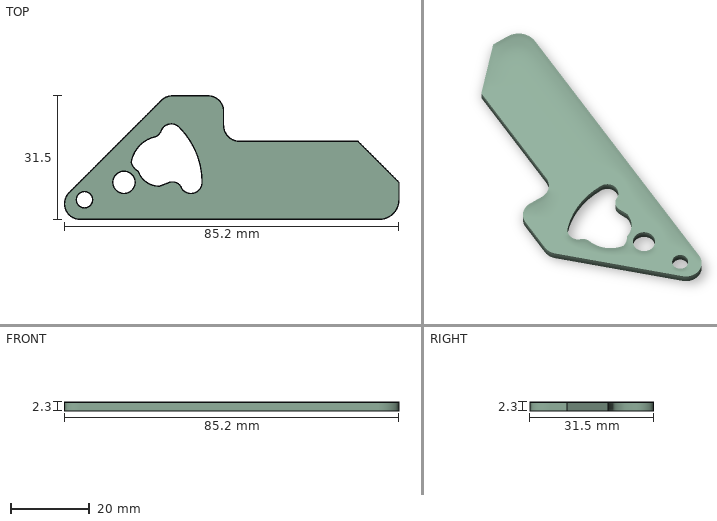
import cadquery as cq
import math

length = 85.2
width = 31.5
thickness = 2.3

corner_radius = 4.0
end_radius = 5.0
slope_normal = 135
step_x = 40.5
step_y = 19.9
chamfer = 10.5

pivot = (5.1, 5.0)
pivot_diameter = 4.1
pin = (15.2, 9.45)
pin_diameter = 5.6

lobe_radius = 2.8
lobe_path_radius = 17.0
upper_lobe_angle = 45
lower_lobe_angle = 0
upper_neck_angle = 150
lower_neck_angle = 215

upper_bump_middle = (24.3, 21.9)
upper_bump_end = (23.2, 21.0)
upper_bay_middle = (19.25, 18.9)
upper_bay_end = (17.0, 14.6)
pin_web_middle = (17.6, 13.3)
pin_web_end = (18.8, 12.3)
lower_bay_middle = (20.95, 9.45)
lower_bay_end = (24.3, 8.5)
lower_bump_start = (26.65, 9.45)
lower_bump_middle = (28.4, 9.45)


def from_point(center, radius, angle):
    """Point at a distance and an angle in degrees from a center."""
    turn = math.radians(angle)
    return (center[0] + radius * math.cos(turn), center[1] + radius * math.sin(turn))


def make_plate():
    slope_start = from_point((corner_radius, corner_radius), corner_radius, slope_normal)
    slope_offset = slope_start[1] - slope_start[0]
    top_center_x = width - slope_offset + corner_radius * math.tan(math.radians((slope_normal - 90) / 2))
    top_center = (top_center_x, width - corner_radius)
    return (
        cq.Workplane("XY")
        .moveTo(corner_radius, 0)
        .lineTo(length - end_radius, 0)
        .radiusArc((length, end_radius), -end_radius)
        .lineTo(length, step_y - chamfer)
        .lineTo(length - chamfer, step_y)
        .lineTo(step_x + corner_radius, step_y)
        .radiusArc((step_x, step_y + corner_radius), corner_radius)
        .lineTo(step_x, width - corner_radius)
        .radiusArc((step_x - corner_radius, width), -corner_radius)
        .lineTo(top_center_x, width)
        .radiusArc(from_point(top_center, corner_radius, slope_normal), -corner_radius)
        .lineTo(*slope_start)
        .radiusArc((0, corner_radius), -corner_radius)
        .radiusArc((corner_radius, 0), -corner_radius)
        .close()
        .extrude(thickness)
    )


def make_opening():
    upper_lobe = from_point(pin, lobe_path_radius, upper_lobe_angle)
    lower_lobe = from_point(pin, lobe_path_radius, lower_lobe_angle)
    wall_radius = lobe_path_radius + lobe_radius
    middle_angle = (upper_lobe_angle + lower_lobe_angle) / 2
    wall_start = from_point(pin, wall_radius, lower_lobe_angle)
    wall_middle = from_point(pin, wall_radius, middle_angle)
    wall_end = from_point(pin, wall_radius, upper_lobe_angle)
    upper_lobe_middle = from_point(upper_lobe, lobe_radius, (upper_lobe_angle + upper_neck_angle) / 2)
    lower_lobe_middle = from_point(lower_lobe, lobe_radius, (lower_neck_angle + 360 + lower_lobe_angle) / 2)
    upper_neck = from_point(upper_lobe, lobe_radius, upper_neck_angle)
    lower_neck = from_point(lower_lobe, lobe_radius, lower_neck_angle)
    return (
        cq.Workplane("XY")
        .moveTo(*wall_start)
        .threePointArc(wall_middle, wall_end)
        .threePointArc(upper_lobe_middle, upper_neck)
        .threePointArc(upper_bump_middle, upper_bump_end)
        .threePointArc(upper_bay_middle, upper_bay_end)
        .threePointArc(pin_web_middle, pin_web_end)
        .threePointArc(lower_bay_middle, lower_bay_end)
        .lineTo(*lower_bump_start)
        .threePointArc(lower_bump_middle, lower_neck)
        .threePointArc(lower_lobe_middle, wall_start)
        .close()
        .extrude(thickness)
    )


def make_hole(center, diameter):
    return cq.Workplane("XY").center(*center).circle(diameter / 2).extrude(thickness)


result = (
    make_plate()
    .cut(make_opening())
    .cut(make_hole(pivot, pivot_diameter))
    .cut(make_hole(pin, pin_diameter))
)